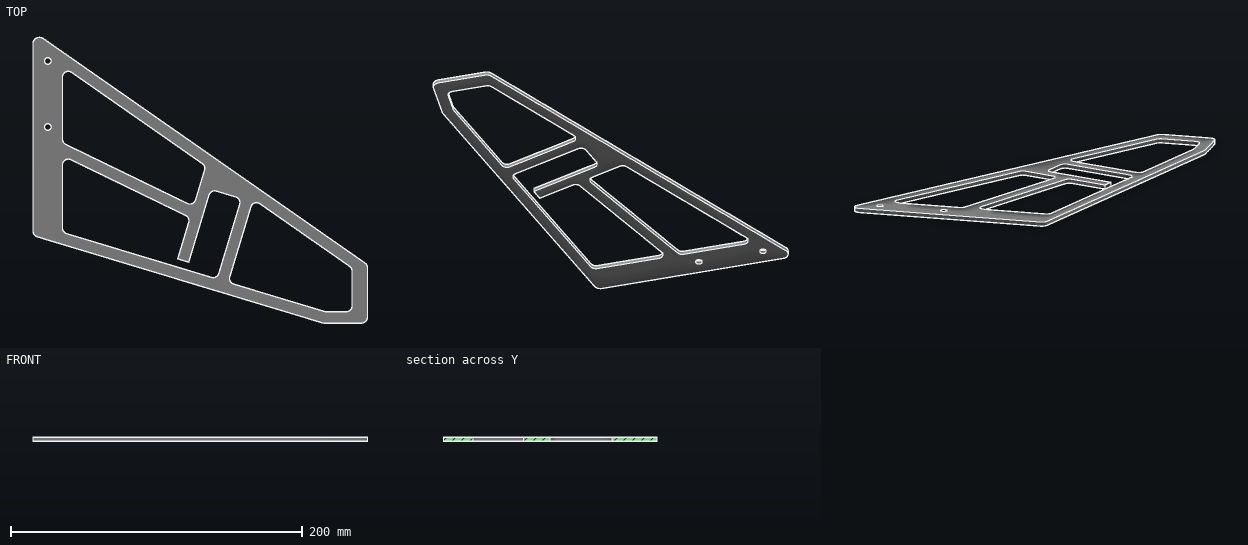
import cadquery as cq
import math

LENGTH = 230.0
WIDTH = 196.5
THICKNESS = 3.0
OUTER_RADIUS = 4.5
WINDOW_RADIUS = 4.0

TOP_ANGLE = -34.9
BOTTOM_ANGLE = -16.8
BOTTOM_LEFT_Y = 60.3

BORDER = 8.0
LEFT_BORDER = 20.5
RIGHT_BORDER = 10.8
RIB_WIDTH = 8.0

DIAGONAL_ANGLE = -25.9
DIAGONAL_Y = 124.0

SLOT_START = 107.9
SLOT_WIDTH = 21.8
SLOT_HEIGHT = 57.5
POST_CLEARANCE = 5.3

HOLE_DIAMETER = 4.4
HOLE_X = 10.4
HOLE_YS = (134.8, 180.0)


def line(x, y, angle):
    """Line through a point, as (x, y, direction x, direction y)."""
    return x, y, math.cos(math.radians(angle)), math.sin(math.radians(angle))


def offset(base, distance):
    """Parallel line moved to the left of the line's direction."""
    x, y, dx, dy = base
    return x - dy * distance, y + dx * distance, dx, dy


def meet(first, second):
    """Point where two lines cross."""
    x1, y1, dx1, dy1 = first
    x2, y2, dx2, dy2 = second
    along = ((x2 - x1) * dy2 - (y2 - y1) * dx2) / (dx1 * dy2 - dy1 * dx2)
    return x1 + along * dx1, y1 + along * dy1


def corners(edges):
    """Corner points of the closed outline bounded by consecutive edges."""
    return [meet(edge, edges[i - 1]) for i, edge in enumerate(edges)]


def prism(points):
    return cq.Workplane("XY").polyline(points).close().extrude(THICKNESS)


def rounded_prism(edges, radius):
    return prism(corners(edges)).edges("|Z").fillet(radius)


top_slope = math.radians(-TOP_ANGLE)
corner_loss = OUTER_RADIUS * (math.tan(top_slope) + 1 / math.cos(top_slope) - 1)
left = line(0, 0, 90)
right = line(LENGTH, 0, 90)
base = line(0, 0, 0)
bottom = line(0, BOTTOM_LEFT_Y, BOTTOM_ANGLE)
top = line(0, WIDTH + corner_loss, TOP_ANGLE)

inner_left = offset(left, -LEFT_BORDER)
inner_right = offset(right, RIGHT_BORDER)
inner_base = offset(base, BORDER)
inner_bottom = offset(bottom, BORDER)
inner_top = offset(top, -BORDER)

diagonal_upper = line(LEFT_BORDER, DIAGONAL_Y, DIAGONAL_ANGLE)
diagonal_lower = offset(diagonal_upper, -RIB_WIDTH)
square_to_bottom = line(0, BOTTOM_LEFT_Y, BOTTOM_ANGLE + 90)
post_right = offset(square_to_bottom, -SLOT_START)
post_left = offset(post_right, RIB_WIDTH)
cross_left = offset(post_right, -SLOT_WIDTH)
cross_right = offset(cross_left, -RIB_WIDTH)
slot_top = offset(inner_bottom, SLOT_HEIGHT)
post_tip = offset(inner_bottom, POST_CLEARANCE)


def lower_window():
    """Lower-left opening joined to the slot, with the square-ended post left standing."""
    opening = rounded_prism([inner_left, inner_bottom, post_left, diagonal_lower], WINDOW_RADIUS)
    slot = rounded_prism([post_right, inner_bottom, cross_left, slot_top], WINDOW_RADIUS)
    passage_left = offset(post_left, 2 * WINDOW_RADIUS)
    passage_right = offset(post_right, -2 * WINDOW_RADIUS)
    passage = prism(corners([passage_left, inner_bottom, passage_right, post_tip]))
    post = prism(corners([post_left, post_tip, post_right, slot_top]))
    return opening.union(slot).union(passage).cut(post)


plate = rounded_prism([left, bottom, base, right, top], OUTER_RADIUS)
upper_window = rounded_prism([inner_left, diagonal_upper, post_left, inner_top], WINDOW_RADIUS)
tip_window = rounded_prism(
    [cross_right, inner_bottom, inner_base, inner_right, inner_top], WINDOW_RADIUS
)
holes = (
    cq.Workplane("XY")
    .pushPoints([(HOLE_X, y) for y in HOLE_YS])
    .circle(HOLE_DIAMETER / 2)
    .extrude(THICKNESS)
)

result = plate.cut(upper_window).cut(lower_window()).cut(tip_window).cut(holes)